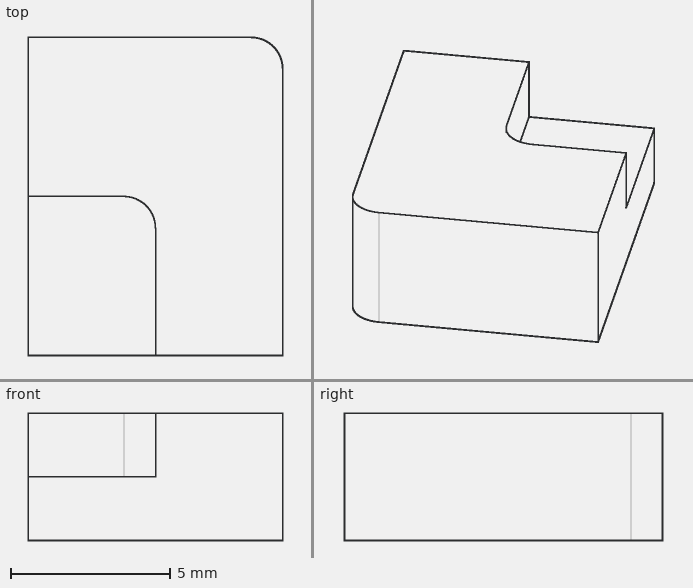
import cadquery as cq

width = 8.0
length = 10.0
height = 4.0

step_width = width / 2
step_length = length / 2
step_depth = height / 2

corner_radius = 1.0


def make_block():
    """Block with its +X, +Y vertical edge rounded."""
    block = cq.Workplane("XY").box(width, length, height, centered=False)
    return block.edges(">X and >Y").fillet(corner_radius)


def make_step_cutter():
    """Volume removed from the upper -X, -Y corner, with a rounded inner corner."""
    cutter = cq.Workplane("XY").box(step_width, step_length, step_depth, centered=False)
    cutter = cutter.edges(">X and >Y").fillet(corner_radius)
    return cutter.translate((0, 0, height - step_depth))


result = make_block().cut(make_step_cutter())